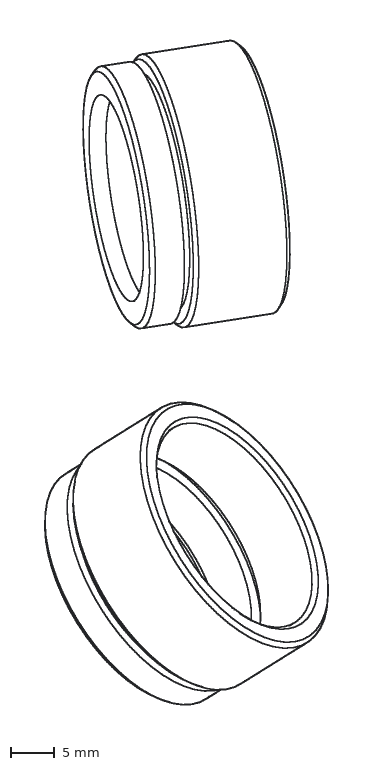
import cadquery as cq

length = 16.5

body_radius = 15.88
body_chamfer = 0.5
flange_radius = 15.25
flange_width = 4.0
flange_chamfer = 0.55
outer_groove_radius = 13.78
outer_groove_width = 1.02

lip_radius = 12.0
lip_width = 2.0
seat_radius = 12.67
inner_groove_radius = 14.25
inner_groove_start = 7.0
inner_groove_width = 1.0
rear_bore_radius = 13.18
rear_bore_chamfer = 0.5

front = -length / 2


def disc(radius, start, end):
    """Solid disc along Y between two distances behind the front face."""
    plane = cq.Plane(origin=(0, front + start, 0), xDir=(0, 0, 1), normal=(0, 1, 0))
    return cq.Workplane(plane).circle(radius).extrude(end - start)


body_start = flange_width + outer_groove_width
flange = disc(flange_radius, 0, flange_width).faces("<Y").chamfer(flange_chamfer)
groove_floor = disc(outer_groove_radius, flange_width, body_start)
body = disc(body_radius, body_start, length).faces("<Y or >Y").chamfer(body_chamfer)
outside = flange.union(groove_floor).union(body)

inner_groove_end = inner_groove_start + inner_groove_width
lip = disc(lip_radius, 0, lip_width)
seat = disc(seat_radius, lip_width, inner_groove_start)
inner_groove = disc(inner_groove_radius, inner_groove_start, inner_groove_end)
rear_bore = disc(rear_bore_radius, inner_groove_end, length)
inside = lip.union(seat).union(inner_groove).union(rear_bore)

ring = outside.cut(inside)
rear_mouth = ring.faces(">Y").edges(cq.selectors.RadiusNthSelector(0))
result = rear_mouth.chamfer(rear_bore_chamfer)